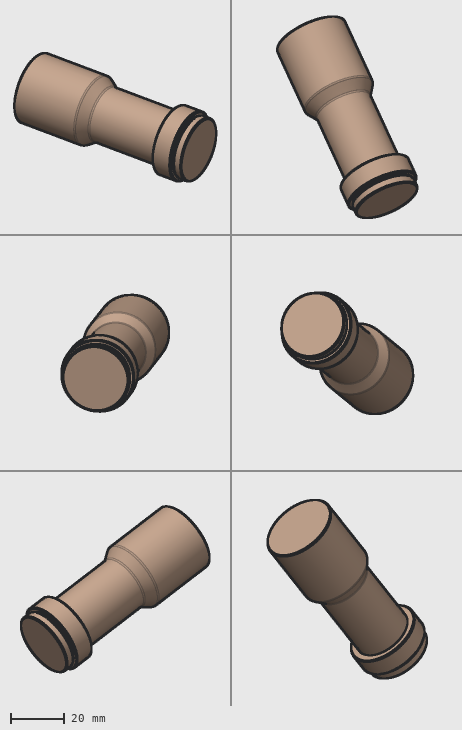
import cadquery as cq

total_length = 73.6
body_radius = 14.0
neck_radius = 11.05
edge_chamfer = 0.4

cone_start = 27.1
cone_end = 31.65
cone_blend_radius = 1.25

collar_start = 61.5
collar_end = 69.55
lip_start = 70.3
lip_radius = 12.65
groove_radius = lip_radius - 0.45


def make_turned_blank():
    """Revolve the half outline, with chamfered rims, about the X axis."""
    half_outline = [
        (0, 0),
        (0, body_radius - edge_chamfer),
        (edge_chamfer, body_radius),
        (cone_start, body_radius),
        (cone_end, neck_radius),
        (collar_start, neck_radius),
        (collar_start, body_radius - edge_chamfer),
        (collar_start + edge_chamfer, body_radius),
        (collar_end - edge_chamfer, body_radius),
        (collar_end, body_radius - edge_chamfer),
        (collar_end, groove_radius),
        (lip_start, groove_radius),
        (lip_start, lip_radius),
        (total_length - edge_chamfer, lip_radius),
        (total_length, lip_radius - edge_chamfer),
        (total_length, 0),
    ]
    profile = cq.Workplane("XZ").polyline(half_outline).close()
    return profile.revolve(360, (0, 0, 0), (1, 0, 0))


def round_cone_edges(part):
    """Blend the cone into the body and the neck."""
    margin = 0.7
    cone_region = cq.selectors.BoxSelector(
        (cone_start - margin, -body_radius, -body_radius),
        (cone_end + margin, body_radius, body_radius),
    )
    return part.edges("%CIRCLE").edges(cone_region).fillet(cone_blend_radius)


result = round_cone_edges(make_turned_blank())